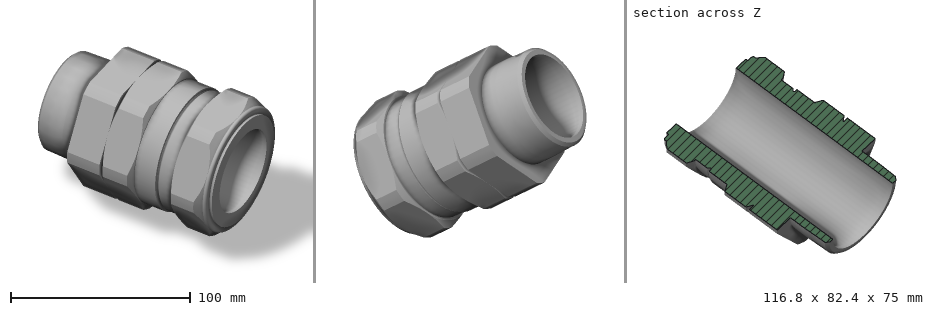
import cadquery as cq
import math

LENGTH = 116.8
BORE_RADIUS = 25.0

ACROSS_FLATS = 75.0
FLAT_RADIUS = ACROSS_FLATS / 2
CORNER_RADIUS = 41.2
CORNER_CHAMFER_ANGLE = math.radians(30)

TIP_RADIUS = 27.9
TIP_CHAMFER = 1.9
TAPER_START_RADIUS = 29.7
SHANK_RADIUS = 30.1
TAPER_END = 17.3

BODY_HEX_START = 27.2
MIDDLE_NUT_START = 48.2
MIDDLE_NUT_END = 68.5
END_NUT_START = 92.7
END_NUT_END = 113.3
COLLAR_END = 115.3

FRONT_SLEEVE_RADIUS = 36.9
REAR_SLEEVE_RADIUS = 36.0
GROOVE_START = 82.0
GROOVE_BOTTOM = 82.6
GROOVE_END = 83.9
GROOVE_EDGE_RADIUS = 35.3
GROOVE_BOTTOM_RADIUS = 34.7

COLLAR_FILLET = 1.2
LIP_RADIUS = 33.3


def turned(profile):
    """Revolve a closed (x, radius) outline about the X axis."""
    return cq.Workplane("XY").polyline(profile).close().revolve(360, (0, 0, 0), (1, 0, 0))


def cylinder(start, end, radius):
    """Solid cylinder on the X axis between two stations."""
    return cq.Workplane("YZ").workplane(offset=start).circle(radius).extrude(end - start)


def hexagon(start, end, left_chamfer=0, right_chamfer=0):
    """Hexagon with flats at top and bottom, rounded corners and conical ends.

    The chamfers are the axial lengths over which each cone cuts from the
    corner radius down to the flat radius.
    """
    across_corners = ACROSS_FLATS / math.cos(math.pi / 6)
    prism = cq.Workplane("YZ").workplane(offset=start).polygon(6, across_corners).extrude(end - start)
    if not left_chamfer and not right_chamfer:
        return prism.intersect(cylinder(start, end, CORNER_RADIUS))
    envelope = turned([
        (start, 0),
        (start, FLAT_RADIUS),
        (start + left_chamfer, CORNER_RADIUS),
        (end - right_chamfer, CORNER_RADIUS),
        (end, FLAT_RADIUS),
        (end, 0),
    ])
    return prism.intersect(envelope)


def threaded_entry():
    return turned([
        (0, 0),
        (0, TIP_RADIUS),
        (TIP_CHAMFER, TAPER_START_RADIUS),
        (TAPER_END, SHANK_RADIUS),
        (BODY_HEX_START, SHANK_RADIUS),
        (BODY_HEX_START, 0),
    ])


def sleeves():
    return turned([
        (MIDDLE_NUT_END, 0),
        (MIDDLE_NUT_END, FRONT_SLEEVE_RADIUS),
        (GROOVE_START, FRONT_SLEEVE_RADIUS),
        (GROOVE_START, GROOVE_EDGE_RADIUS),
        (GROOVE_BOTTOM, GROOVE_BOTTOM_RADIUS),
        (GROOVE_END, REAR_SLEEVE_RADIUS),
        (END_NUT_START, REAR_SLEEVE_RADIUS),
        (END_NUT_START, 0),
    ])


def collar():
    return cylinder(END_NUT_END, COLLAR_END, FLAT_RADIUS).faces(">X").edges().fillet(COLLAR_FILLET)


corner_depth = CORNER_RADIUS - FLAT_RADIUS
shallow_chamfer = corner_depth * math.tan(CORNER_CHAMFER_ANGLE)
steep_chamfer = corner_depth

result = (
    threaded_entry()
    .union(hexagon(BODY_HEX_START, MIDDLE_NUT_START))
    .union(hexagon(MIDDLE_NUT_START, MIDDLE_NUT_END, shallow_chamfer, shallow_chamfer))
    .union(sleeves())
    .union(hexagon(END_NUT_START, END_NUT_END, shallow_chamfer, steep_chamfer))
    .union(collar())
    .union(cylinder(COLLAR_END, LENGTH, LIP_RADIUS))
    .cut(cylinder(0, LENGTH, BORE_RADIUS))
)